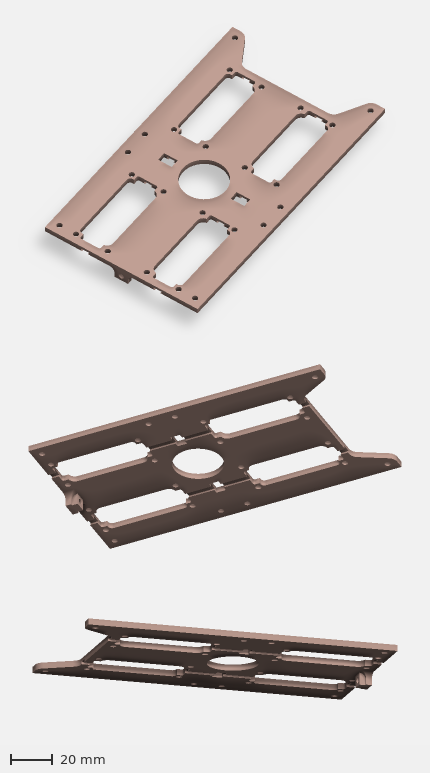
import cadquery as cq
import math

plate_width = 89.8
plate_thickness = 3.0
body_length = 137.6
ear_length = 18.0
plate_length = body_length + ear_length
body_middle = body_length / 2

recess_floor_half_width = 27.0
recess_wall_angle = 60.5
recess_floor_radius = 5.0
ear_tip_radius = 5.0

hole_diameter = 3.0
edge_hole_inset = 5.0
middle_hole_spacing = 14.0

center_bore_diameter = 25.0
window_width = 8.0
window_length = 5.0

pocket_axis_x = 21.35
pocket_center_distance = 81.3
pocket_inner_x = 12.3
pocket_outer_x = 30.2
pocket_wide_length = 42.0
pocket_inner_radius = 3.5
pocket_outer_radius = 2.0
pocket_tab_width = 11.9
pocket_tab_length = 48.3
pocket_tab_radius = 1.0
pocket_hole_inner_x = 11.5
pocket_hole_outer_x = 30.2
pocket_hole_spacing_y = 46.3

groove_width = 4.8
groove_mouth_width = 3.2
groove_depth = 1.5
groove_lip_height = 0.4

lug_width = 8.0
lug_thickness = 3.0
lug_height = 6.0
lug_fillet_radius = 3.0
lug_back_width = 6.0
lug_back_thickness = 3.0
lug_hole_height = 3.0

sides = (-1, 1)
pocket_centers_y = [body_middle + end * pocket_center_distance / 2 for end in sides]


def box(x_min, x_max, y_min, y_max, z_min, z_max):
    return cq.Workplane("XY").box(
        x_max - x_min, y_max - y_min, z_max - z_min, centered=False
    ).translate((x_min, y_min, z_min))


def through_holes(points, diameter):
    return cq.Workplane("XY").pushPoints(points).circle(diameter / 2).extrude(plate_thickness)


def make_plate():
    plate = box(-plate_width / 2, plate_width / 2, 0, plate_length, 0, plate_thickness)
    recess_mouth_half_width = (
        recess_floor_half_width + ear_length / math.tan(math.radians(recess_wall_angle))
    )
    recess = (
        cq.Workplane("XY")
        .moveTo(-recess_floor_half_width, body_length)
        .lineTo(recess_floor_half_width, body_length)
        .lineTo(recess_mouth_half_width, plate_length)
        .lineTo(-recess_mouth_half_width, plate_length)
        .close()
        .extrude(plate_thickness)
    )
    plate = plate.cut(recess)
    for side in sides:
        floor_corner = (side * recess_floor_half_width, body_length, plate_thickness / 2)
        ear_tip = (side * recess_mouth_half_width, plate_length, plate_thickness / 2)
        plate = plate.edges(cq.selectors.NearestToPointSelector(floor_corner)).fillet(recess_floor_radius)
        plate = plate.edges(cq.selectors.NearestToPointSelector(ear_tip)).fillet(ear_tip_radius)
    return plate


def edge_holes():
    rows_y = [
        edge_hole_inset,
        body_middle - middle_hole_spacing / 2,
        body_middle + middle_hole_spacing / 2,
        plate_length - edge_hole_inset,
    ]
    edge_hole_x = plate_width / 2 - edge_hole_inset
    return through_holes([(side * edge_hole_x, y) for side in sides for y in rows_y], hole_diameter)


def center_openings():
    openings = through_holes([(0, body_middle)], center_bore_diameter)
    window_centers = [(side * pocket_axis_x, body_middle) for side in sides]
    windows = (
        cq.Workplane("XY")
        .pushPoints(window_centers)
        .rect(window_width, window_length)
        .extrude(plate_thickness)
    )
    return openings.union(windows)


def pocket(center_y):
    """Pocket on the +X side with its four screw holes."""
    wide = box(
        pocket_inner_x, pocket_outer_x,
        center_y - pocket_wide_length / 2, center_y + pocket_wide_length / 2,
        0, plate_thickness,
    )
    wide = wide.edges("|Z and <X").fillet(pocket_inner_radius)
    wide = wide.edges("|Z and >X").fillet(pocket_outer_radius)
    tabs = (
        cq.Workplane("XY")
        .center(pocket_axis_x, center_y)
        .rect(pocket_tab_width, pocket_tab_length)
        .extrude(plate_thickness)
        .edges("|Z")
        .fillet(pocket_tab_radius)
    )
    hole_points = [
        (x, center_y + end * pocket_hole_spacing_y / 2)
        for x in (pocket_hole_inner_x, pocket_hole_outer_x)
        for end in sides
    ]
    return wide.union(tabs).union(through_holes(hole_points, hole_diameter))


def groove(center_x):
    """Full-length groove whose lips narrow its mouth at the underside."""
    half_width = groove_width / 2
    half_mouth = groove_mouth_width / 2
    return (
        cq.Workplane("XZ")
        .moveTo(center_x - half_mouth, 0)
        .lineTo(center_x - half_width, groove_lip_height)
        .lineTo(center_x - half_width, groove_depth)
        .lineTo(center_x + half_width, groove_depth)
        .lineTo(center_x + half_width, groove_lip_height)
        .lineTo(center_x + half_mouth, 0)
        .close()
        .extrude(-plate_length)
    )


def add_lug(plate):
    """Lug blended into the plate at its sides and back, backed by a narrower block."""
    lug = box(-lug_width / 2, lug_width / 2, 0, lug_thickness, -lug_height, 0)
    part = plate.union(lug)
    selection_margin = 0.1
    root = cq.selectors.BoxSelector(
        (-lug_width / 2 - selection_margin, -selection_margin, -selection_margin),
        (lug_width / 2 + selection_margin, lug_thickness + selection_margin, selection_margin),
    )
    part = part.edges(root).fillet(lug_fillet_radius)
    lug_length = lug_thickness + lug_back_thickness
    back = box(-lug_back_width / 2, lug_back_width / 2, lug_thickness, lug_length, -lug_height, 0)
    hole = (
        cq.Workplane("XZ")
        .center(0, lug_hole_height - lug_height)
        .circle(hole_diameter / 2)
        .extrude(-lug_length)
    )
    return part.union(back).cut(hole)


result = add_lug(make_plate())
result = result.cut(edge_holes()).cut(center_openings())
for pocket_y in pocket_centers_y:
    right_pocket = pocket(pocket_y)
    result = result.cut(right_pocket).cut(right_pocket.mirror("YZ"))
for side in sides:
    result = result.cut(groove(side * pocket_axis_x))